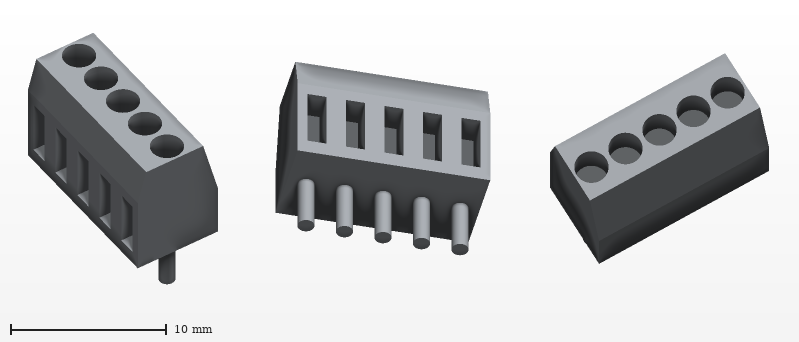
import cadquery as cq

POLE_COUNT = 5
PITCH = 2.54
BLOCK_LENGTH = POLE_COUNT * PITCH
OVERALL_HEIGHT = 11.7

BODY_DEPTH = 6.2
BODY_HEIGHT = 8.17
FRONT_WALL_HEIGHT = 5.77
FRONT_SETBACK = 0.65
BACK_WALL_HEIGHT = 3.8
BACK_SETBACK = 1.15

PIN_DIAMETER = 1.1
PIN_LENGTH = OVERALL_HEIGHT - BODY_HEIGHT

SCREW_HOLE_DIAMETER = 2.2
SCREW_HOLE_DEPTH = 2.4

WINDOW_WIDTH = PITCH / 2
WINDOW_HEIGHT = 4.0
WINDOW_SILL = 0.97
WINDOW_DEPTH = 2.0

FRONT_Y = -BODY_DEPTH / 2
BACK_Y = BODY_DEPTH / 2
POLE_CENTRES = [((i - (POLE_COUNT - 1) / 2) * PITCH, 0) for i in range(POLE_COUNT)]


def housing():
    """Prism along X with a sloped shoulder on the front and the back."""
    profile = [
        (FRONT_Y, 0),
        (BACK_Y, 0),
        (BACK_Y, BACK_WALL_HEIGHT),
        (BACK_Y - BACK_SETBACK, BODY_HEIGHT),
        (FRONT_Y + FRONT_SETBACK, BODY_HEIGHT),
        (FRONT_Y, FRONT_WALL_HEIGHT),
    ]
    return cq.Workplane("YZ").polyline(profile).close().extrude(BLOCK_LENGTH / 2, both=True)


def pole_cylinders(diameter, bottom_z, height):
    """One upright cylinder on the centre of every pole."""
    plane = cq.Workplane("XY").workplane(offset=bottom_z)
    return plane.pushPoints(POLE_CENTRES).circle(diameter / 2).extrude(height)


def wire_windows():
    """Rectangular blind pockets entering every pole from the front face."""
    return (
        cq.Workplane("XY")
        .workplane(offset=WINDOW_SILL)
        .pushPoints(POLE_CENTRES)
        .rect(WINDOW_WIDTH, WINDOW_DEPTH)
        .extrude(WINDOW_HEIGHT)
        .translate((0, FRONT_Y + WINDOW_DEPTH / 2, 0))
    )


pins = pole_cylinders(PIN_DIAMETER, -PIN_LENGTH, PIN_LENGTH)
screw_holes = pole_cylinders(SCREW_HOLE_DIAMETER, BODY_HEIGHT - SCREW_HOLE_DEPTH, SCREW_HOLE_DEPTH)

result = housing().union(pins).cut(screw_holes).cut(wire_windows())